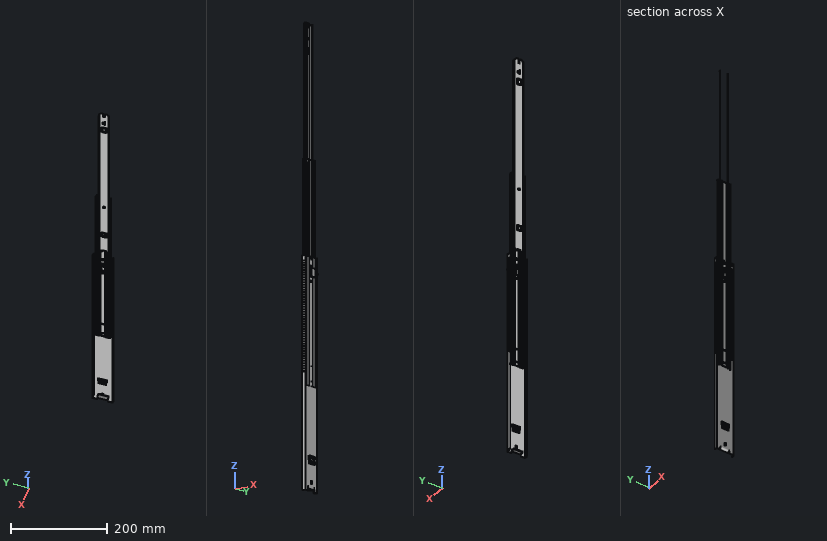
import cadquery as cq
import math


TOTAL_LENGTH = 1000.0
SLIDE_DEPTH = 12.7
SHEET = 1.2
DRILL_REACH = 3.0
MIRROR_SIDES = (1, -1)

OUTER_LENGTH = 500.0
OUTER_WIDTH = 45.7
FLANGE_RADIUS = 9.0
FLANGE_ROOT_ANGLE = 32.0
FLANGE_TIP_ANGLE = 38.0
STOP_NOTCH_WIDTH = 22.8
STOP_NOTCH_HEIGHT = 4.5
STOP_TAB_REACH = 9.6
STOP_TAB_THICKNESS = 2.4
STOP_BEND_RADIUS = 3.0
TIP_CHAMFER = 3.0
OUTER_SLOT_WIDTH = 4.4
OUTER_SLOT_LENGTH = 7.0
OUTER_SLOT_Z = 19.5

HOOK_REACH = 5.65
HOOK_WIDTH = 17.6
HOOK_PLATE = 2.4
HOOK_HEAD_WIDTH = 14.0
LOWER_HOOK_Z = (58.0, 75.0)
LOWER_HOOK_TABS = ((58.0, 62.0), (69.5, 72.0))
LOWER_HOOK_POCKET_Z = (58.8, 64.8)
LOWER_HOOK_POCKET_WIDTH = 16.6
HOOK_OPENING_Z = (67.5, 74.0)
HOOK_OPENING_WIDTH = 20.0
HOOK_BRIDGE_WIDTH = 3.0
UPPER_HOOK_Z = (456.5, 474.5)
NUB_DIAMETER = 2.0
NUB_REACH = 2.5
NUB_Y = 19.5

MIDDLE_Z = (224.5, 707.0)
MIDDLE_BACK_X = -1.5
MIDDLE_TIP_X = -12.3
MIDDLE_HALF_WIDTH = 17.2
MIDDLE_TIP_HALF_WIDTH = 15.3
MIDDLE_BACK_HALF_WIDTH = 15.5
RACE_START_X = -7.0
RACE_END_X = -4.5
RIB_HEIGHT = 1.0
RIB_CREST_HALF_WIDTH = 4.5
RIB_FOOT_HALF_WIDTH = 6.7
MIDDLE_HOLE_DIAMETER = 4.4
MIDDLE_HOLES_Z = (448.0, 480.0, 495.5)
MIDDLE_WINDOW_Y = (-4.5, 2.0)
MIDDLE_WINDOW_Z = (456.0, 472.0)
CROSS_SLIT_HEIGHT = 1.0
CROSS_SLIT_WIDTH = 6.0
CROSS_SLITS_Z = (234.5, 267.0)

INNER_BOTTOM = 510.5
INNER_WIDTH = 21.4
INNER_FLANGE_END_X = -4.4
INNER_CORNER_CHAMFER = 4.6
INNER_GROOVE_RADIUS = 1.3
INNER_GROOVE_X = -6.0
INNER_GROOVE_DEPTH = 0.6
TOP_SLOT_WIDTH = 4.0
TOP_SLOT_DEPTH = 10.5
BOTTOM_SLOT_WIDTH = 9.0
BOTTOM_SLOT_DEPTH = 4.5
INNER_HOLE_DIAMETER = 4.4
INNER_HOLE_Z = 669.0
KEYHOLE_SLIT_Y = -1.5
KEYHOLE_SLIT_WIDTH = 1.2
KEYHOLE_SLIT_Z = (962.5, 972.0)
KEYHOLE_DIAMETER = 4.4
KEYHOLE_Y = 1.5
KEYHOLE_Z = 966.5

LUG_REACH = 2.5
LUG_WIDTH = 12.0
LUG_FRAME = 2.5
UPPER_LUG_Z = (934.5, 947.5)
LOWER_LUG_Z = (563.5, 574.5)

OUTER_CAGE_Z = (252.0, 490.0)
OUTER_CAGE_X = (-8.0, -5.0)
OUTER_CAGE_HALF_SPAN = 20.6
INNER_CAGE_Z = (226.0, 700.0)
INNER_CAGE_X = (-11.0, -3.6)
INNER_CAGE_LEG = 1.6
INNER_CAGE_FOOT_THICKNESS = 0.7
INNER_CAGE_FOOT_END = 8.0


def block(x_range, y_range, z_range):
    """Rectangular block between the given limits."""
    spans = [high - low for low, high in (x_range, y_range, z_range)]
    corner = (x_range[0], y_range[0], z_range[0])
    return cq.Workplane("XY").box(*spans, centered=False).translate(corner)


def centred_block(x_range, width, z_range):
    """Rectangular block that is symmetric about Y = 0."""
    return block(x_range, (-width / 2, width / 2), z_range)


def rail_blank(outline, z_range):
    """Closed XY section drawn along the slide between two heights."""
    bottom, top = z_range
    return outline.extrude(top - bottom).translate((0, 0, bottom))


def web_hole(x_back, diameter, z):
    """Round cutter that passes through a web whose back face is at x_back."""
    cutter = cq.Workplane("YZ").center(0, z).circle(diameter / 2).extrude(DRILL_REACH, both=True)
    return cutter.translate((x_back, 0, 0))



def flange_point(radius, angle):
    """Point on the +Y flange arc; the angle runs from the apex towards the mounting face."""
    centre_x = -FLANGE_RADIUS * math.sin(math.radians(FLANGE_ROOT_ANGLE))
    centre_y = OUTER_WIDTH / 2 - FLANGE_RADIUS
    turn = math.radians(angle)
    return (centre_x + radius * math.sin(turn), centre_y + radius * math.cos(turn))


def outer_blank():
    """Flat web with a flange bowed outwards along each side."""
    inner_radius = FLANGE_RADIUS - SHEET
    root = flange_point(FLANGE_RADIUS, FLANGE_ROOT_ANGLE)
    flange_outline = (
        cq.Workplane("XY")
        .moveTo(*root)
        .threePointArc(flange_point(FLANGE_RADIUS, 0), flange_point(FLANGE_RADIUS, -FLANGE_TIP_ANGLE))
        .lineTo(*flange_point(inner_radius, -FLANGE_TIP_ANGLE))
        .threePointArc(flange_point(inner_radius, 0), flange_point(inner_radius, FLANGE_ROOT_ANGLE))
        .close()
    )
    flange = rail_blank(flange_outline, (0, OUTER_LENGTH))
    web = centred_block((-SHEET, 0), 2 * root[1], (0, OUTER_LENGTH))
    return web.union(flange).union(flange.mirror("XZ"))


def stop_tab():
    """Tab bent out of the web above the bottom notch."""
    top = STOP_NOTCH_HEIGHT + STOP_TAB_THICKNESS
    bend_x = -SHEET - STOP_BEND_RADIUS
    bend_mid = STOP_BEND_RADIUS * (1 - math.sqrt(0.5))
    return (
        cq.Workplane("XZ")
        .moveTo(0, STOP_NOTCH_HEIGHT)
        .lineTo(-STOP_TAB_REACH, STOP_NOTCH_HEIGHT)
        .lineTo(-STOP_TAB_REACH, top)
        .lineTo(bend_x, top)
        .threePointArc((-SHEET - bend_mid, top + bend_mid), (-SHEET, top + STOP_BEND_RADIUS))
        .lineTo(0, top + STOP_BEND_RADIUS)
        .close()
        .extrude(STOP_NOTCH_WIDTH / 2, both=True)
    )


def tip_chamfer_cutter():
    """Wedge that trims the bottom corner of both flange tips."""
    tip_x = flange_point(FLANGE_RADIUS, -FLANGE_TIP_ANGLE)[0]
    return (
        cq.Workplane("XZ")
        .polyline([(tip_x, 0), (tip_x + TIP_CHAMFER, 0), (tip_x, TIP_CHAMFER)])
        .close()
        .extrude(OUTER_WIDTH, both=True)
    )


def make_outer_rail():
    rail = outer_blank()
    rail = rail.cut(centred_block((-SHEET, 0), STOP_NOTCH_WIDTH, (0, STOP_NOTCH_HEIGHT)))
    rail = rail.cut(tip_chamfer_cutter())
    rail = rail.union(stop_tab())

    slot = (
        cq.Workplane("YZ")
        .center(0, OUTER_SLOT_Z)
        .slot2D(OUTER_SLOT_LENGTH, OUTER_SLOT_WIDTH, 90)
        .extrude(-SHEET)
    )
    rail = rail.cut(slot)

    rail = rail.union(centred_block((0, HOOK_PLATE), HOOK_WIDTH, LOWER_HOOK_Z))
    for tab_z in LOWER_HOOK_TABS:
        rail = rail.union(centred_block((0, HOOK_REACH), HOOK_WIDTH, tab_z))
    rail = rail.cut(centred_block((-SHEET, 0), LOWER_HOOK_POCKET_WIDTH, LOWER_HOOK_POCKET_Z))
    for side in MIRROR_SIDES:
        opening_y = sorted((side * HOOK_BRIDGE_WIDTH / 2, side * HOOK_OPENING_WIDTH / 2))
        rail = rail.cut(block((-SHEET, 0), opening_y, HOOK_OPENING_Z))

    rail = rail.union(centred_block((0, HOOK_PLATE), HOOK_WIDTH, UPPER_HOOK_Z))
    rail = rail.union(centred_block((HOOK_PLATE, HOOK_REACH), HOOK_HEAD_WIDTH, UPPER_HOOK_Z))
    nub_z = sum(UPPER_HOOK_Z) / 2
    nub = cq.Workplane("YZ").center(NUB_Y, nub_z).circle(NUB_DIAMETER / 2).extrude(NUB_REACH)
    return rail.union(nub)



def middle_half_outline():
    """Half section on the +Y side: ribbed web, side race and lip that leans inwards."""
    front_x = MIDDLE_BACK_X - SHEET
    back = [
        (MIDDLE_BACK_X - RIB_HEIGHT, 0),
        (MIDDLE_BACK_X - RIB_HEIGHT, RIB_CREST_HALF_WIDTH),
        (MIDDLE_BACK_X, RIB_FOOT_HALF_WIDTH),
    ]
    outside = [
        (MIDDLE_BACK_X, MIDDLE_BACK_HALF_WIDTH),
        (RACE_END_X, MIDDLE_HALF_WIDTH),
        (RACE_START_X, MIDDLE_HALF_WIDTH),
        (MIDDLE_TIP_X, MIDDLE_TIP_HALF_WIDTH),
    ]
    inside = [
        (MIDDLE_TIP_X, MIDDLE_TIP_HALF_WIDTH - SHEET),
        (RACE_START_X, MIDDLE_HALF_WIDTH - SHEET),
        (RACE_END_X, MIDDLE_HALF_WIDTH - SHEET),
        (front_x, MIDDLE_BACK_HALF_WIDTH - SHEET),
    ]
    front = [(x - SHEET, y) for x, y in reversed(back)]
    return cq.Workplane("XY").polyline(back + outside + inside + front).close()


def make_intermediate_rail():
    half = rail_blank(middle_half_outline(), MIDDLE_Z)
    rail = half.union(half.mirror("XZ"))

    web_x = (MIDDLE_BACK_X - RIB_HEIGHT - SHEET, MIDDLE_BACK_X)
    rail = rail.cut(block(web_x, MIDDLE_WINDOW_Y, MIDDLE_WINDOW_Z))
    for z in MIDDLE_HOLES_Z:
        rail = rail.cut(web_hole(MIDDLE_BACK_X, MIDDLE_HOLE_DIAMETER, z))
    for z in CROSS_SLITS_Z:
        slit_z = (z - CROSS_SLIT_HEIGHT / 2, z + CROSS_SLIT_HEIGHT / 2)
        rail = rail.cut(centred_block(web_x, CROSS_SLIT_WIDTH, slit_z))
    return rail



def inner_blank():
    """Channel with its web in front and a ball groove along the outside of each flange."""
    z_range = (INNER_BOTTOM, TOTAL_LENGTH)
    full_x = (-SLIDE_DEPTH, INNER_FLANGE_END_X)
    blank = centred_block(full_x, INNER_WIDTH, z_range)
    hollow_x = (-SLIDE_DEPTH + SHEET, INNER_FLANGE_END_X)
    blank = blank.cut(centred_block(hollow_x, INNER_WIDTH - 2 * SHEET, z_range))
    groove_y = INNER_WIDTH / 2 + INNER_GROOVE_RADIUS - INNER_GROOVE_DEPTH
    for side in MIRROR_SIDES:
        groove = cq.Workplane("XY").center(INNER_GROOVE_X, side * groove_y).circle(INNER_GROOVE_RADIUS)
        blank = blank.cut(rail_blank(groove, z_range))
    corners = (
        cq.Workplane("YZ")
        .rect(INNER_WIDTH, TOTAL_LENGTH - INNER_BOTTOM)
        .extrude(-SLIDE_DEPTH)
        .edges("|X")
        .chamfer(INNER_CORNER_CHAMFER)
        .translate((0, 0, (TOTAL_LENGTH + INNER_BOTTOM) / 2))
    )
    return blank.intersect(corners)


def add_lug(rail, lug_z):
    """Window in the web, covered by a raised bridge whose lower end stays open."""
    bottom, top = lug_z
    front_x = -SLIDE_DEPTH - LUG_REACH
    lug = centred_block((front_x, -SLIDE_DEPTH), LUG_WIDTH, lug_z)
    cavity_x = (front_x + SHEET, -SLIDE_DEPTH + SHEET)
    cavity = centred_block(cavity_x, LUG_WIDTH - 2 * LUG_FRAME, (bottom, top - LUG_FRAME))
    return rail.union(lug).cut(cavity)


def make_inner_rail():
    rail = inner_blank()
    web_x = (-SLIDE_DEPTH, -SLIDE_DEPTH + SHEET)
    top_slot_z = (TOTAL_LENGTH - TOP_SLOT_DEPTH, TOTAL_LENGTH)
    rail = rail.cut(centred_block(web_x, TOP_SLOT_WIDTH, top_slot_z))
    bottom_slot_z = (INNER_BOTTOM, INNER_BOTTOM + BOTTOM_SLOT_DEPTH)
    rail = rail.cut(centred_block(web_x, BOTTOM_SLOT_WIDTH, bottom_slot_z))
    rail = rail.cut(web_hole(-SLIDE_DEPTH + SHEET, INNER_HOLE_DIAMETER, INNER_HOLE_Z))

    slit_y = (KEYHOLE_SLIT_Y - KEYHOLE_SLIT_WIDTH / 2, KEYHOLE_SLIT_Y + KEYHOLE_SLIT_WIDTH / 2)
    rail = rail.cut(block(web_x, slit_y, KEYHOLE_SLIT_Z))
    keyhole = web_hole(-SLIDE_DEPTH + SHEET, KEYHOLE_DIAMETER, KEYHOLE_Z)
    rail = rail.cut(keyhole.translate((0, KEYHOLE_Y, 0)))

    for lug_z in (UPPER_LUG_Z, LOWER_LUG_Z):
        rail = add_lug(rail, lug_z)
    return rail



def make_outer_cage_strip(side):
    """Straight strip between the outer and intermediate flanges."""
    strip_y = sorted((side * MIDDLE_HALF_WIDTH, side * OUTER_CAGE_HALF_SPAN))
    return block(OUTER_CAGE_X, strip_y, OUTER_CAGE_Z)


def make_inner_cage_strip(side):
    """Angle strip: a leg beside the inner flange and a foot turned in behind it."""
    leg_start = INNER_WIDTH / 2
    leg_y = sorted((side * leg_start, side * (leg_start + INNER_CAGE_LEG)))
    leg = block(INNER_CAGE_X, leg_y, INNER_CAGE_Z)
    foot_x = (INNER_CAGE_X[1] - INNER_CAGE_FOOT_THICKNESS, INNER_CAGE_X[1])
    foot_y = sorted((side * INNER_CAGE_FOOT_END, side * leg_start))
    return leg.union(block(foot_x, foot_y, INNER_CAGE_Z))


outer_rail = make_outer_rail()
intermediate_rail = make_intermediate_rail()
inner_rail = make_inner_rail()
outer_cage_strips = [make_outer_cage_strip(side) for side in MIRROR_SIDES]
inner_cage_strips = [make_inner_cage_strip(side) for side in MIRROR_SIDES]

bodies = [outer_rail, intermediate_rail, inner_rail, *outer_cage_strips, *inner_cage_strips]
result = cq.Compound.makeCompound([solid for body in bodies for solid in body.solids().vals()])